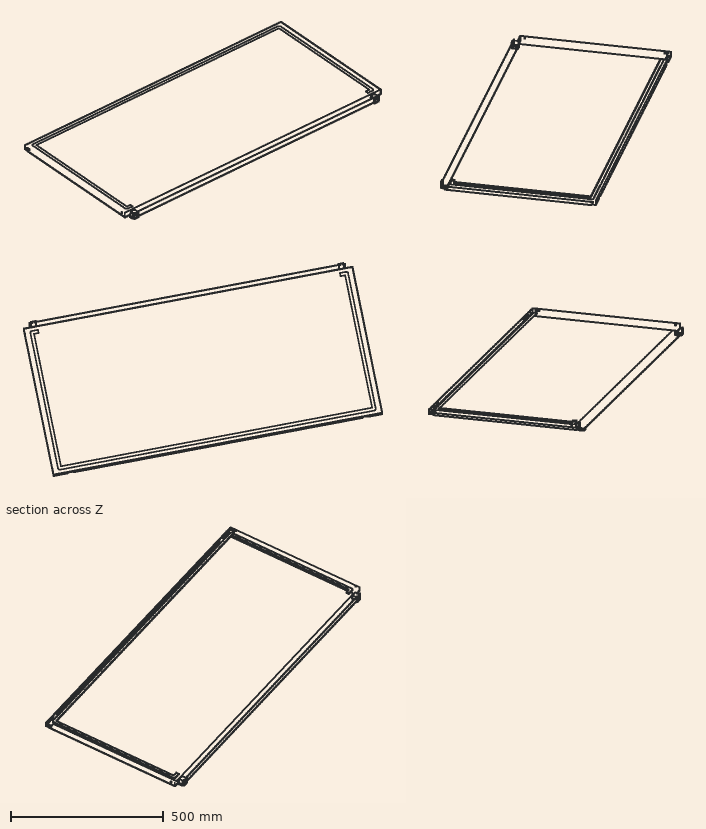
import cadquery as cq


LENGTH = 1096.0
WIDTH = 507.0
SHEET = 1.3
BEND = 2.0
INNER_BEND = BEND - SHEET
WALL_HEIGHT = 20.0
FREE_WALL_HEIGHT = 16.0
SHORT_WALL_REACH = 15.0
LIP_WIDTH = 24.0

NOTCH_WIDTH = 18.0
NOTCH_TOP = -8.0
NOTCH_FROM_END = 57.0
OPENING_Z = -8.0
HOLE_DIAMETER = 4.0
FREE_HOLE_FROM_END = 24.0
FREE_SLOT_FROM_END = 93.0
END_HOLE_X = 492.0
END_SLOT_X = 16.0
SLOT_LENGTH = 14.0

GUTTER_END_GAP = 22.0
GUTTER_LEFT = WIDTH - SHEET
GUTTER_RIGHT = 524.0
GUTTER_TOP = -5.0
GUTTER_BOTTOM = -26.0
WINDOW_WIDTH = 7.0
WINDOW_HEIGHT = 12.0

SEAL_WIDTH = 11.0
SEAL_CORNER = 7.0
SEAL_HEIGHT = 5.0
SEAL_SIDE_MARGIN = 13.0
SEAL_END_MARGIN = 19.0
SEAL_RETURN = 26.0

HINGE_WIDTH = 16.0
HINGE_FROM_END = 35.0
HINGE_LEFT = 504.0
HINGE_RIGHT = 527.0
HINGE_TOP = -7.0
HINGE_BOTTOM = -28.0
HINGE_CHAMFER = 2.0
HINGE_TOE_TOP = -15.0
GROOVE_LEFT = 511.0
GROOVE_WIDTH = 3.8
GROOVE_DEPTH = 1.6

ENDS = (-1, 1)


def block(x0, x1, y0, y1, z0, z1):
    """Box between two corners."""
    return cq.Workplane("XY").box(x1 - x0, y1 - y0, z1 - z0, centered=False).translate((x0, y0, z0))


def band(x0, x1, y_centre, y_width, z0, z1):
    """Box given by its middle and width along Y."""
    return block(x0, x1, y_centre - y_width / 2, y_centre + y_width / 2, z0, z1)


def folded_envelope(inset, radius):
    """Tray envelope offset inward by `inset`, rounded where the end walls are bent."""
    half = LENGTH / 2 - inset
    envelope = block(inset, WIDTH - inset, -half, half, inset - WALL_HEIGHT, -inset)
    envelope = envelope.edges("|X").fillet(radius)
    return envelope


def door_tray():
    tray = folded_envelope(0, BEND).cut(folded_envelope(SHEET, INNER_BEND))
    half_opening = LENGTH / 2 - LIP_WIDTH
    tray = tray.cut(block(SHEET, GUTTER_LEFT, -half_opening, half_opening, -WALL_HEIGHT, -SHEET - BEND))
    half = LENGTH / 2
    tray = tray.cut(block(0, SHORT_WALL_REACH, -half, half, -WALL_HEIGHT, -FREE_WALL_HEIGHT))
    return tray.edges("|Y and <X and >Z").fillet(BEND)


def gutter():
    half = LENGTH / 2 - GUTTER_END_GAP
    outside = block(GUTTER_LEFT, GUTTER_RIGHT, -half, half, GUTTER_BOTTOM, GUTTER_TOP)
    outside = outside.edges("|Y and <Z").fillet(BEND)
    inside = block(WIDTH, GUTTER_RIGHT - SHEET, -half, half, GUTTER_BOTTOM + SHEET, 0)
    inside = inside.edges("|Y and <Z").fillet(INNER_BEND)
    return outside.cut(inside)


def slot_cutter(plane, length):
    """Horizontal slot (or round hole when length equals the diameter) centred on the plane origin."""
    sketch = cq.Workplane(plane)
    if length > HOLE_DIAMETER:
        sketch = sketch.slot2D(length, HOLE_DIAMETER)
    else:
        sketch = sketch.circle(HOLE_DIAMETER / 2)
    return sketch.extrude(SHEET, both=True)


def wall_openings(end):
    """Cutters for the notch, holes and slots at one end of the door."""
    y_end = end * LENGTH / 2
    notch_y = y_end - end * NOTCH_FROM_END
    cutters = [band(0, SHEET, notch_y, NOTCH_WIDTH, -FREE_WALL_HEIGHT, NOTCH_TOP)]
    for distance, length in ((FREE_HOLE_FROM_END, HOLE_DIAMETER), (FREE_SLOT_FROM_END, SLOT_LENGTH)):
        centre = (0, y_end - end * distance, OPENING_Z)
        cutters.append(slot_cutter("YZ", length).translate(centre))
    for x, length in ((END_HOLE_X, HOLE_DIAMETER), (END_SLOT_X, SLOT_LENGTH)):
        cutters.append(slot_cutter("XZ", length).translate((x, y_end, OPENING_Z)))
    return cutters


def hinge_y(end):
    return end * (LENGTH / 2 - HINGE_FROM_END)


def tongue_window(end):
    bottom = GUTTER_TOP - WINDOW_HEIGHT
    return band(GUTTER_RIGHT - SHEET, GUTTER_RIGHT, hinge_y(end), WINDOW_WIDTH, bottom, GUTTER_TOP)


def make_door():
    door = door_tray().union(gutter())
    for end in ENDS:
        for cutter in wall_openings(end):
            door = door.cut(cutter)
        door = door.cut(tongue_window(end))
    return door


def make_seal():
    half = LENGTH / 2 - SEAL_END_MARGIN
    left = SEAL_SIDE_MARGIN
    right = WIDTH - SEAL_SIDE_MARGIN
    bottom = -SHEET - SEAL_HEIGHT
    ring = block(left, right, -half, half, bottom, -SHEET).edges("|Z").fillet(SEAL_CORNER)
    inner_half = half - SEAL_WIDTH
    ring = ring.cut(block(left + SEAL_WIDTH, right - SEAL_WIDTH, -inner_half, inner_half, bottom, -SHEET))
    gap_half = half - SEAL_RETURN
    return ring.cut(block(right - SEAL_WIDTH, right, -gap_half, gap_half, bottom, -SHEET))


def make_hinge(end, door):
    """Clip around the gutter: outer block, toe inside the door and a block filling the gutter."""
    y = hinge_y(end)
    clip = band(HINGE_LEFT, HINGE_RIGHT, y, HINGE_WIDTH, HINGE_BOTTOM, HINGE_TOP)
    clip = clip.edges("|Y and <Z").chamfer(HINGE_CHAMFER)
    clip = clip.cut(band(HINGE_LEFT, WIDTH, y, HINGE_WIDTH, HINGE_TOE_TOP, HINGE_TOP))
    groove_right = GROOVE_LEFT + GROOVE_WIDTH
    groove_top = HINGE_BOTTOM + GROOVE_DEPTH
    clip = clip.cut(band(GROOVE_LEFT, groove_right, y, HINGE_WIDTH, HINGE_BOTTOM, groove_top))
    return clip.cut(door)


door = make_door()
seal = make_seal()
hinges = [make_hinge(end, door) for end in ENDS]

result = cq.Compound.makeCompound([door.val(), seal.val(), *[hinge.val() for hinge in hinges]])